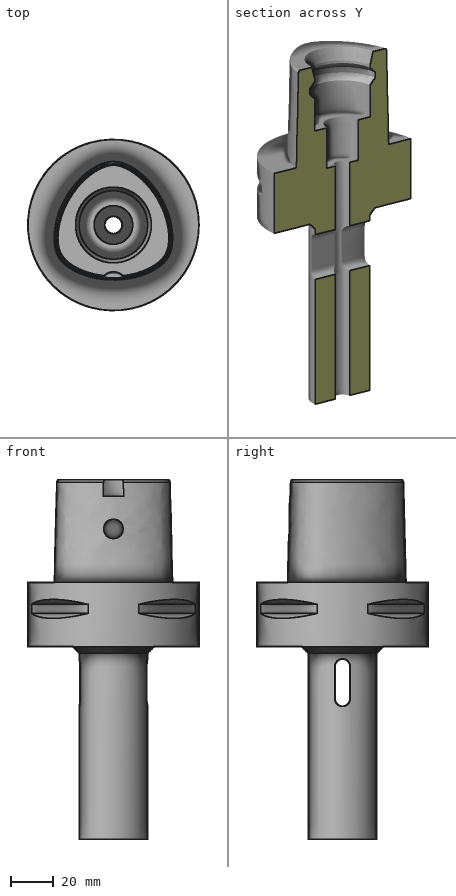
import cadquery as cq
import math


flange_diameter = 80.0
flange_thickness = 30.0

shank_diameter = 32.0
shank_end = -120.0
neck_height = 3.0
neck_diameter = shank_diameter + 2 * neck_height

taper_height = 48.0
taper_base_width = 55.4
taper_ratio = 1 / 20
lobe_height = 2.0
taper_edge_chamfer_height = 1.1
taper_edge_chamfer_inset = 0.6
profile_points = 48

mouth_radius = 17.7
bore_radius = 16.0
mouth_depth = 6.4
lip_end_depth = 7.7
groove_radius = 19.0
groove_start_depth = lip_end_depth + (groove_radius - bore_radius)
groove_end_depth = 16.3
groove_cone_depth = groove_end_depth - (groove_radius - bore_radius)
bore_depth = 32.0
screw_hole_radius = 9.0
screw_hole_depth = 52.0
coolant_radius = 4.0

notch_radius = 5.7
notch_center_y = -27.55
notch_depth = 7.75
pocket_diameter = 9.0
pocket_height = 25.0
pocket_depth = 7.0

gripper_groove_count = 4
gripper_floor_distance = 35.4
gripper_floor_width = 4.2
gripper_flank_angle = 27.0
gripper_center = -12.35
gripper_first_angle = 45.0

slot_width = 7.0
slot_length = 22.0
slot_top = -35.8


def taper_width(z):
    """Width across the polygonal taper at height z."""
    return taper_base_width - taper_ratio * z


def polygon_wire(width, z):
    """Constant-width three-lobed outline with one lobe toward +Y."""
    points = []
    for i in range(profile_points):
        angle = 2 * math.pi * i / profile_points
        support = width / 2 + lobe_height * math.cos(3 * angle)
        slope = -3 * lobe_height * math.sin(3 * angle)
        outward_y = support * math.cos(angle) - slope * math.sin(angle)
        outward_x = support * math.sin(angle) + slope * math.cos(angle)
        points.append(cq.Vector(outward_x, outward_y, z))
    return cq.Wire.assembleEdges([cq.Edge.makeSpline(points, periodic=True)])


def polygon_loft(width_low, z_low, width_high, z_high):
    """Ruled solid between two polygonal outlines."""
    wires = [polygon_wire(width_low, z_low), polygon_wire(width_high, z_high)]
    return cq.Workplane(obj=cq.Solid.makeLoft(wires, True))


def make_taper():
    chamfer_start = taper_height - taper_edge_chamfer_height
    end_width = taper_width(taper_height) - 2 * taper_edge_chamfer_inset
    cone = polygon_loft(taper_width(0), 0, taper_width(chamfer_start), chamfer_start)
    edge = polygon_loft(taper_width(chamfer_start), chamfer_start, end_width, taper_height)
    return cone.union(edge)


def make_turned_body():
    """Flange, neck cone and shank as one revolved profile."""
    neck_end = -flange_thickness - neck_height
    return (
        cq.Workplane("XZ")
        .moveTo(0, 0)
        .lineTo(flange_diameter / 2, 0)
        .lineTo(flange_diameter / 2, -flange_thickness)
        .lineTo(neck_diameter / 2, -flange_thickness)
        .lineTo(shank_diameter / 2, neck_end)
        .lineTo(shank_diameter / 2, shank_end)
        .lineTo(0, shank_end)
        .close()
        .revolve(360, (0, 0, 0), (0, 1, 0))
    )


def make_bore():
    """Stepped bore with a clamping groove, reduced to a coolant passage."""
    profile = [
        (0, 0),
        (mouth_radius, 0),
        (bore_radius, mouth_depth),
        (bore_radius, lip_end_depth),
        (groove_radius, groove_start_depth),
        (groove_radius, groove_cone_depth),
        (bore_radius, groove_end_depth),
        (bore_radius, bore_depth),
        (screw_hole_radius, bore_depth),
        (screw_hole_radius, screw_hole_depth),
        (coolant_radius, screw_hole_depth),
        (coolant_radius, taper_height - shank_end),
        (0, taper_height - shank_end),
    ]
    points = [(radius, taper_height - depth) for radius, depth in profile]
    return cq.Workplane("XZ").polyline(points).close().revolve(360, (0, 0, 0), (0, 1, 0))


def make_notch():
    return (
        cq.Workplane("XY", origin=(0, notch_center_y, taper_height - notch_depth))
        .circle(notch_radius)
        .extrude(notch_depth)
    )


def make_pocket():
    surface_y = -(taper_width(pocket_height) / 2 - lobe_height)
    outer_y = -flange_diameter / 2
    return (
        cq.Workplane("XZ", origin=(0, outer_y, pocket_height))
        .circle(pocket_diameter / 2)
        .extrude(-(surface_y + pocket_depth - outer_y))
    )


def make_gripper_groove():
    """Straight groove with inclined flanks, facing +X before it is turned into place."""
    outer = flange_diameter / 2
    floor_half = gripper_floor_width / 2
    flank_rise = (outer - gripper_floor_distance) * math.tan(math.radians(gripper_flank_angle))
    return (
        cq.Workplane("XZ", origin=(0, outer, gripper_center))
        .moveTo(gripper_floor_distance, -floor_half)
        .lineTo(outer, -floor_half - flank_rise)
        .lineTo(outer, floor_half + flank_rise)
        .lineTo(gripper_floor_distance, floor_half)
        .close()
        .extrude(flange_diameter)
    )


def make_cross_slot():
    return (
        cq.Workplane("YZ", origin=(0, 0, slot_top - slot_length / 2))
        .slot2D(slot_length, slot_width, 90)
        .extrude(shank_diameter, both=True)
    )


result = make_turned_body().union(make_taper())
result = result.cut(make_bore())
result = result.cut(make_notch())
result = result.cut(make_pocket())
result = result.cut(make_cross_slot())
for index in range(gripper_groove_count):
    turn = gripper_first_angle + index * 360 / gripper_groove_count
    result = result.cut(make_gripper_groove().rotate((0, 0, 0), (0, 0, 1), turn))